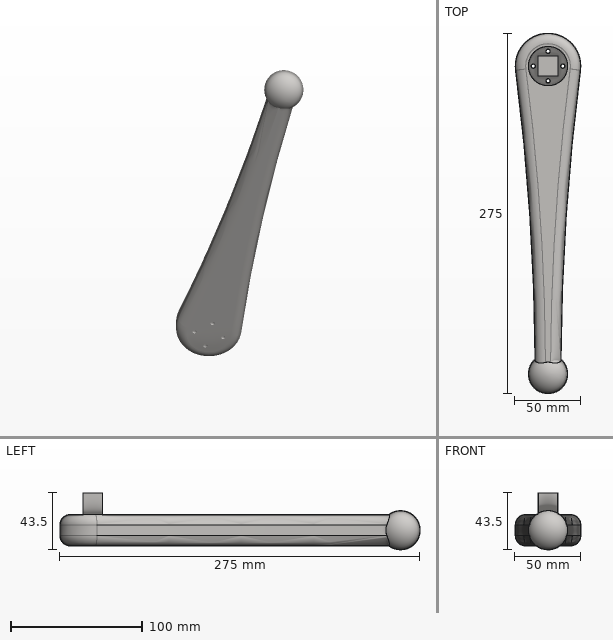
import cadquery as cq
import math


total_length = 275.0
total_height = 43.5

hub_radius = 25.0
arm_thickness = 24.0
edge_radius = 8.0
neck_half_width = 10.0

ball_radius = 30.0 / 2

recess_radius = 30.0 / 2
recess_depth = 8.0
square_side = 15.0

screw_hole_radius = 3.0 / 2
screw_circle_radius = 11.3
screw_count = 4

arm_top = arm_thickness / 2
arm_bottom = -arm_top
recess_floor = arm_top - recess_depth
ball_y = hub_radius + ball_radius - total_length
square_top = total_height - ball_radius

flank_radius = (neck_half_width**2 + ball_y**2 - hub_radius**2) / (2 * (hub_radius - neck_half_width))
flank_center_x = neck_half_width + flank_radius
flank_angle = math.asin(-ball_y / (flank_radius + hub_radius))


def flank_point(angle):
    """Point of the +X flank, where angle 0 is the neck and flank_angle is the hub tangency."""
    return (
        flank_center_x - flank_radius * math.cos(angle),
        ball_y + flank_radius * math.sin(angle),
    )


def mirrored(point):
    """The same point on the -X side."""
    return (-point[0], point[1])


def arm_blank():
    """Tapered arm with rounded top and bottom edges and a flat end inside the ball."""
    hub_tangency = flank_point(flank_angle)
    flank_middle = flank_point(flank_angle / 2)
    neck = flank_point(0)
    return (
        cq.Workplane("XY")
        .workplane(offset=arm_bottom)
        .moveTo(*hub_tangency)
        .threePointArc((0, hub_radius), mirrored(hub_tangency))
        .threePointArc(mirrored(flank_middle), mirrored(neck))
        .lineTo(*neck)
        .threePointArc(flank_middle, hub_tangency)
        .close()
        .extrude(arm_thickness)
        .faces("<Z or >Z")
        .edges("not <Y")
        .fillet(edge_radius)
    )


def hub_recess():
    """Round recess open at the top of the hub."""
    return cq.Workplane("XY").workplane(offset=recess_floor).circle(recess_radius).extrude(recess_depth)


def screw_holes():
    """Ring of holes through the whole arm thickness."""
    return (
        cq.Workplane("XY")
        .workplane(offset=arm_bottom)
        .polarArray(screw_circle_radius, 0, 360, screw_count)
        .circle(screw_hole_radius)
        .extrude(arm_thickness)
    )


def square_drive():
    """Square standing on the recess floor."""
    return (
        cq.Workplane("XY")
        .workplane(offset=recess_floor)
        .rect(square_side, square_side)
        .extrude(square_top - recess_floor)
    )


def make_ball():
    """Ball grip at the free end of the arm."""
    return cq.Workplane("XY").sphere(ball_radius).translate((0, ball_y, 0))


def make_arm(ball_shape):
    """Crank arm with its square drive, hollowed at the end to seat the ball."""
    machined = arm_blank().cut(hub_recess()).cut(screw_holes())
    return machined.union(square_drive()).cut(ball_shape)


ball = make_ball()
arm = make_arm(ball)

result = cq.Compound.makeCompound([arm.solids().val(), ball.solids().val()])